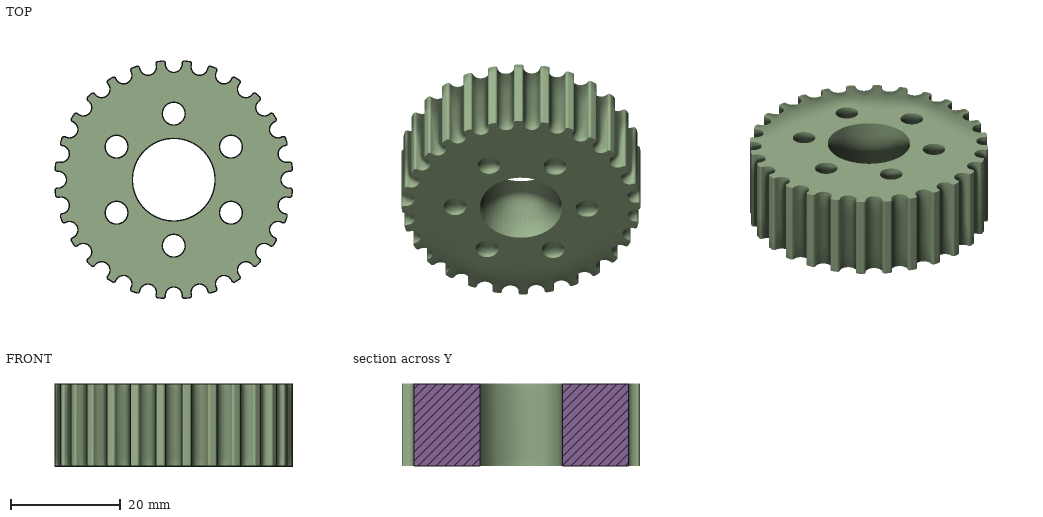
import cadquery as cq
import math

overall_width = 43.2
thickness = 15.0
tooth_count = 28
groove_radius = 1.5
groove_floor_radius = 19.55
tip_round = 0.45
bore_diameter = 15.0
bolt_hole_diameter = 4.1
bolt_hole_count = 6
bolt_circle_radius = 12.0
first_bolt_hole_angle = 90.0

groove_centre = groove_floor_radius + groove_radius
round_centre_radial = overall_width / 2 - tip_round
round_centre_across = groove_radius + tip_round
round_centre_distance = math.hypot(round_centre_radial, round_centre_across)
tip_radius = round_centre_distance + tip_round

round_end_angle = math.atan2(round_centre_across, round_centre_radial)
groove_pitch = 2 * math.pi / tooth_count


def rotated(radial, across, angle):
    """Turn a groove point about the pulley axis to the groove's angle."""
    return (
        radial * math.cos(angle) - across * math.sin(angle),
        radial * math.sin(angle) + across * math.cos(angle),
    )


def round_point(side, direction):
    """Point on a tip rounding; direction is measured from the groove's centre line."""
    return (
        round_centre_radial + tip_round * math.cos(direction),
        side * (round_centre_across + tip_round * math.sin(direction)),
    )


def add_groove_and_tip(outline, angle):
    """Continue the outline through one groove and over the tooth tip after it."""
    wall_direction = -math.pi / 2
    middle_direction = (wall_direction + round_end_angle) / 2

    def at(point):
        return rotated(*point, angle)

    next_tip_start = rotated(*round_point(-1, round_end_angle), angle + groove_pitch)
    return (
        outline
        .threePointArc(at(round_point(-1, middle_direction)), at(round_point(-1, wall_direction)))
        .lineTo(*at((groove_centre, -groove_radius)))
        .threePointArc(at((groove_floor_radius, 0)), at((groove_centre, groove_radius)))
        .lineTo(*at(round_point(1, wall_direction)))
        .threePointArc(at(round_point(1, middle_direction)), at(round_point(1, round_end_angle)))
        .threePointArc(rotated(tip_radius, 0, angle + groove_pitch / 2), next_tip_start)
    )


def toothed_body():
    """Solid pulley blank with round-bottomed grooves, centred on its mid-plane."""
    outline = cq.Workplane("XY").moveTo(*round_point(-1, round_end_angle))
    for index in range(tooth_count):
        outline = add_groove_and_tip(outline, index * groove_pitch)
    return outline.close().extrude(thickness / 2, both=True)


def holes():
    """Central bore and the ring of bolt holes, both running right through."""
    bore = cq.Workplane("XY").circle(bore_diameter / 2).extrude(thickness / 2, both=True)
    bolt_holes = (
        cq.Workplane("XY")
        .polarArray(bolt_circle_radius, first_bolt_hole_angle, 360, bolt_hole_count)
        .circle(bolt_hole_diameter / 2)
        .extrude(thickness / 2, both=True)
    )
    return bore.add(bolt_holes).combine()


result = toothed_body().cut(holes())